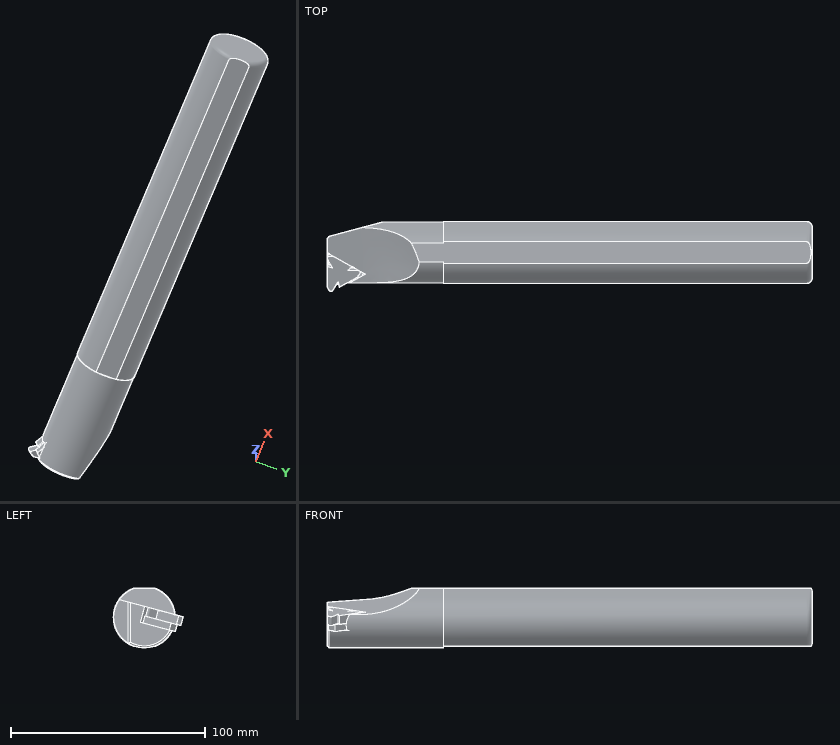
import cadquery as cq
import math

bar_length = 250.0
shank_diameter = 32.0
head_diameter = 31.5
head_length = 60.0
flat_height = 15.0
end_fillet = 3.0
nose_chamfer = 1.0

facet_angle = 15.0
facet_start_y = 8.1

rake_angle = 15.0
rake_height = 5.65

bowl_floor_radius = 70.0
bowl_wall_radius = 45.0
bowl_floor_end = 18.8
bowl_center_y = -4.0
bowl_height = 25.0

inscribed_diameter = 12.7
insert_thickness = 4.76
back_corner_y = -0.2
tooth_center = 2.0
tooth_tip_radius = 1.1
tooth_half_angle = 30.0
tip_reach = 1.38
notch_depth = 5.1
notch_far_x = 6.3

seat_thickness = 3.7
seat_inset = 0.8
seat_end_cut = 5.2
seat_lower_cut = 3.9

pocket_depth = insert_thickness + seat_thickness
pocket_clearance = 0.6

inscribed_radius = inscribed_diameter / 2
side_length = inscribed_diameter * math.sqrt(3)
center = (inscribed_radius, back_corner_y - side_length / 2)


def rake_plane(depth=0.0):
    """Workplane parallel to the rake plane, the given depth below it."""
    tilt = math.radians(rake_angle)
    normal = (0, -math.sin(tilt), math.cos(tilt))
    origin = (0, -depth * normal[1], rake_height - depth * normal[2])
    return cq.Workplane(cq.Plane(origin=origin, xDir=(1, 0, 0), normal=normal))


def turned(point, turn):
    """Point turned about the insert centre by a number of thirds of a circle."""
    angle = turn * 2 * math.pi / 3
    dx = point[0] - center[0]
    dy = point[1] - center[1]
    return (
        center[0] + dx * math.cos(angle) - dy * math.sin(angle),
        center[1] + dx * math.sin(angle) + dy * math.cos(angle),
    )


def triangle_points(inset=0.0):
    """Corners of the insert triangle moved inward; the first is the cutting corner."""
    corner = (inset, center[1] - side_length / 2 + inset * math.sqrt(3))
    return [turned(corner, turn) for turn in range(3)]


def make_bar():
    shank = (
        cq.Workplane("YZ", origin=(head_length, 0, 0))
        .circle(shank_diameter / 2)
        .extrude(bar_length - head_length)
        .faces(">X")
        .edges()
        .fillet(end_fillet)
    )
    shank = shank.intersect(
        cq.Workplane("XY").box(2 * bar_length, shank_diameter, 2 * flat_height)
    )
    head = cq.Workplane("YZ").circle(head_diameter / 2).extrude(head_length)
    facet_rise = head_length * math.tan(math.radians(facet_angle))
    facet_waste = (
        cq.Workplane("XY", origin=(0, 0, -shank_diameter))
        .moveTo(0, facet_start_y)
        .lineTo(head_length, facet_start_y + facet_rise)
        .lineTo(0, facet_start_y + facet_rise)
        .close()
        .extrude(2 * shank_diameter)
    )
    head = head.cut(facet_waste).faces("<X").edges().chamfer(nose_chamfer)
    top_waste = cq.Workplane("XY", origin=(0, 0, flat_height)).box(
        2 * head_length, shank_diameter, shank_diameter, centered=(True, True, False)
    )
    return shank.union(head.cut(top_waste))


def make_scoop():
    half_angle = math.acos(1 - bowl_height / bowl_wall_radius) / 2
    wall_run = bowl_wall_radius * math.sin(2 * half_angle)
    arc_middle = (
        bowl_floor_radius + bowl_wall_radius * math.sin(half_angle),
        bowl_wall_radius * (1 - math.cos(half_angle)),
    )
    bowl = (
        cq.Workplane("XZ")
        .lineTo(bowl_floor_radius, 0)
        .threePointArc(arc_middle, (bowl_floor_radius + wall_run, bowl_height))
        .lineTo(0, bowl_height)
        .close()
        .revolve(360, (0, 0), (0, 1))
    )
    return (
        bowl.translate((bowl_floor_end - bowl_floor_radius, bowl_center_y, 0))
        .rotate((0, 0, 0), (1, 0, 0), rake_angle)
        .translate((0, 0, rake_height))
    )


def make_pocket():
    """Triangular recess that touches two sides of the insert and clears the third."""
    points = triangle_points()
    back_corner = points[2]
    growth = 1 + pocket_clearance / (side_length * math.cos(math.pi / 6))
    pocket_points = [
        (
            back_corner[0] + growth * (x - back_corner[0]),
            back_corner[1] + growth * (y - back_corner[1]),
        )
        for x, y in points
    ]
    return rake_plane(pocket_depth).polyline(pocket_points).close().extrude(pocket_depth)


def make_seat():
    """Triangular seat with its corner under the cutting tooth cut off."""
    cutting_corner, shank_corner, back_corner = triangle_points(seat_inset)
    cut_on_end_side = (cutting_corner[0], cutting_corner[1] + seat_end_cut)
    cut_on_lower_side = (
        cutting_corner[0] + seat_lower_cut * math.cos(math.pi / 6),
        cutting_corner[1] + seat_lower_cut * math.sin(math.pi / 6),
    )
    return (
        rake_plane(pocket_depth)
        .polyline([cut_on_end_side, cut_on_lower_side, shank_corner, back_corner])
        .close()
        .extrude(seat_thickness)
    )


def make_insert():
    """Insert with a rounded 60 degree tooth and a notch at each corner."""
    half_angle = math.radians(tooth_half_angle)
    corner_y = center[1] - side_length / 2
    tip_y = corner_y + tip_reach
    arc_y = tip_y + tooth_tip_radius
    tangent_dx = tooth_tip_radius * math.cos(half_angle)
    tangent_y = arc_y - tooth_tip_radius * math.sin(half_angle)
    left_tangent = (tooth_center - tangent_dx, tangent_y)
    right_tangent = (tooth_center + tangent_dx, tangent_y)
    side_corner = (0, tangent_y + left_tangent[0] / math.tan(half_angle))
    notch_y = tip_y + notch_depth
    notch_bottom = (right_tangent[0] + (notch_y - tangent_y) * math.tan(half_angle), notch_y)
    notch_end = (notch_far_x, corner_y + notch_far_x * math.tan(half_angle))

    outline = rake_plane(insert_thickness).moveTo(*side_corner)
    for turn in range(3):
        if turn > 0:
            outline = outline.lineTo(*turned(side_corner, turn))
        outline = (
            outline.lineTo(*turned(left_tangent, turn))
            .threePointArc(turned((tooth_center, tip_y), turn), turned(right_tangent, turn))
            .lineTo(*turned(notch_bottom, turn))
            .lineTo(*turned(notch_end, turn))
        )
    return outline.close().extrude(insert_thickness)


holder = make_bar().cut(make_scoop()).cut(make_pocket()).union(make_seat())
insert = make_insert()

result = cq.Compound.makeCompound([holder.val(), insert.val()])